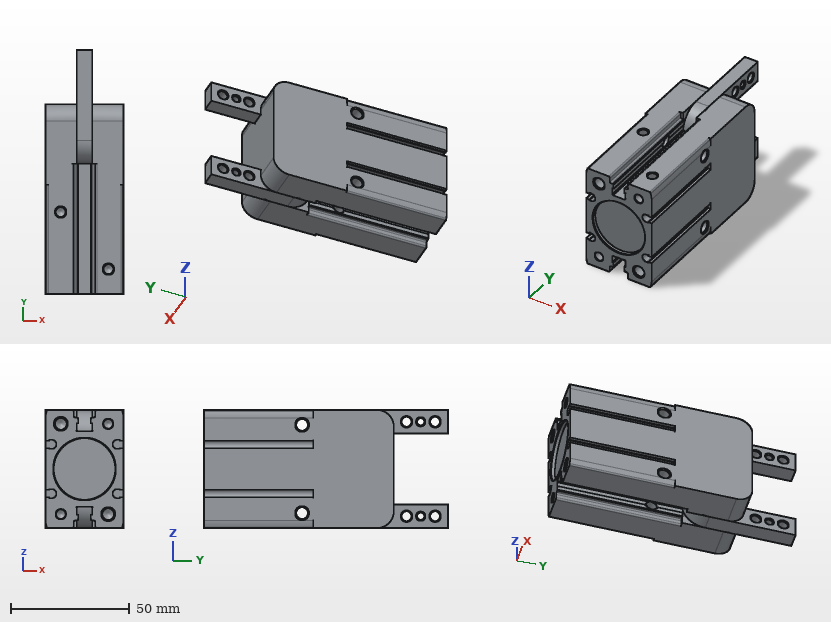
import cadquery as cq
import math

overall_length = 103.2
body_width = 33.0
body_length = 80.3
body_height = 50.0
half_width = body_width / 2
half_height = body_height / 2
body_nose_radius = 7.1

finger_width = 6.6
finger_height = 10.0
finger_end_y = 55.1
finger_length = overall_length - finger_end_y
finger_hole_setbacks = [5.5, 17.5]
finger_hole_diameter = 4.1
finger_hole_rim = 5.0
pin_hole_setback = 11.6
pin_hole_diameter = 3.0
pin_hole_rim = 4.0

mouth_half_width = 4.5
mouth_depth = 3.2
mouth_edge_round = 0.7
mouth_corner_round = 0.6
neck_half_width = 2.7
neck_end_depth = 5.7
neck_chamfer = 0.3
floor_chamfer = 0.4
slot_half_width = finger_width / 2
slot_depth = 9.1

side_run = 46.2
groove_height = 10.4
groove_opening = 3.1
groove_bore_height = 3.8
groove_lip = 1.7
groove_depth = 4.6
corner_height = 3.4
corner_inset = 0.5
corner_curve_radius = 8.3
corner_round = 0.6

recess_diameter = 26.6
recess_floor_diameter = 26.0
recess_depth = 1.9

drill_point_angle = 118.0
side_hole_y = 41.5
side_hole_z = 18.7
side_hole_diameter = 5.0
side_hole_rim = 6.0
front_hole_x = 10.0
front_hole_z = 19.1
front_hole_depth = 6.7
large_front_diameter = 5.0
large_front_rim = 6.0
small_front_diameter = 4.0
small_front_rim = 4.4
port_x = 10.1
rear_port_y = 34.7
front_port_y = 10.5
port_diameter = 4.1
port_rim = 5.0
port_depth = 6.2


def revolve_about(profile, mouth, direction):
    """Solid turned from (radius, depth) points, with depth running from mouth along direction."""
    outline = cq.Workplane("XZ").polyline(profile).close()
    turned = outline.revolve(360, (0, 0, 0), (0, 1, 0)).val()
    return turned.moved(cq.Plane(origin=mouth, normal=direction).location)


def blind_hole(mouth, direction, diameter, rim, depth):
    """Drilled hole with a 45 degree countersunk rim and a conical bottom."""
    radius = diameter / 2
    rim_radius = rim / 2
    tip_depth = depth + radius / math.tan(math.radians(drill_point_angle / 2))
    profile = [(0, 0), (rim_radius, 0), (radius, rim_radius - radius), (radius, depth), (0, tip_depth)]
    return revolve_about(profile, mouth, direction)


def cross_hole(width, y, z, diameter, rim):
    """Hole across the full width in X, with a 45 degree countersink at both ends."""
    radius = diameter / 2
    rim_radius = rim / 2
    sink = rim_radius - radius
    profile = [
        (0, 0), (rim_radius, 0), (radius, sink), (radius, width - sink), (rim_radius, width), (0, width),
    ]
    return revolve_about(profile, (-width / 2, y, z), (1, 0, 0))


def along_y(outline, length):
    """Extrude an outline drawn in X and Z from the front face toward +Y."""
    return outline.close().extrude(-length)


def finger_blank():
    """Top finger without holes: a bar whose inner end is rounded on its outer edge."""
    bottom = half_height - finger_height
    arc_centre_y = finger_end_y + finger_height
    diagonal = finger_height * math.sqrt(0.5)
    return (
        cq.Workplane("YZ", origin=(-finger_width / 2, 0, 0))
        .moveTo(finger_end_y, bottom)
        .threePointArc((arc_centre_y - diagonal, bottom + diagonal), (arc_centre_y, half_height))
        .lineTo(overall_length, half_height)
        .lineTo(overall_length, bottom)
        .close()
        .extrude(finger_width)
    )


def make_finger(turn):
    """Finger with its mounting holes, turned about the Y axis into place."""
    centre_z = half_height - finger_height / 2
    finger = finger_blank()
    for setback in finger_hole_setbacks:
        hole_y = overall_length - setback
        finger = finger.cut(cross_hole(finger_width, hole_y, centre_z, finger_hole_diameter, finger_hole_rim))
    pin_y = overall_length - pin_hole_setback
    finger = finger.cut(cross_hole(finger_width, pin_y, centre_z, pin_hole_diameter, pin_hole_rim))
    return finger.rotate((0, 0, 0), (0, 1, 0), turn)


def top_slot():
    """Stepped slot in the top face, with rounded mouth edges and rounded mouth corners."""
    bend = math.sqrt(0.5)
    edge_x = mouth_half_width + mouth_edge_round
    edge_z = half_height - mouth_edge_round
    mouth_z = half_height - mouth_depth
    corner_x = mouth_half_width - mouth_corner_round
    corner_z = mouth_z + mouth_corner_round
    neck_z = half_height - neck_end_depth
    floor_z = half_height - slot_depth
    edge_mid = (edge_x - mouth_edge_round * bend, edge_z + mouth_edge_round * bend)
    corner_mid = (corner_x + mouth_corner_round * bend, corner_z - mouth_corner_round * bend)
    half_slot = along_y(
        cq.Workplane("XZ")
        .moveTo(0, half_height)
        .lineTo(edge_x, half_height)
        .threePointArc(edge_mid, (mouth_half_width, edge_z))
        .lineTo(mouth_half_width, corner_z)
        .threePointArc(corner_mid, (corner_x, mouth_z))
        .lineTo(neck_half_width + neck_chamfer, mouth_z)
        .lineTo(neck_half_width, mouth_z - neck_chamfer)
        .lineTo(neck_half_width, neck_z)
        .lineTo(slot_half_width, neck_z)
        .lineTo(slot_half_width, floor_z + floor_chamfer)
        .lineTo(slot_half_width - floor_chamfer, floor_z)
        .lineTo(0, floor_z),
        finger_end_y,
    )
    return half_slot.union(half_slot.mirror("YZ"))


def finger_pocket():
    """Square-ended pocket for the top finger, open at the rear and top."""
    return cq.Workplane("XY").box(
        finger_width, finger_length, finger_height, centered=(True, False, False)
    ).translate((0, finger_end_y, half_height - finger_height))


def side_groove():
    """Groove in the +X side at the upper height: a narrow opening and a wider, round-ended bore."""
    round_x = half_width - groove_depth + groove_bore_height / 2
    lip_x = half_width - groove_lip
    bore_top = groove_height + groove_bore_height / 2
    bore_bottom = groove_height - groove_bore_height / 2
    opening_top = groove_height + groove_opening / 2
    opening_bottom = groove_height - groove_opening / 2
    return along_y(
        cq.Workplane("XZ")
        .moveTo(half_width, opening_top)
        .lineTo(lip_x, opening_top)
        .lineTo(lip_x, bore_top)
        .lineTo(round_x, bore_top)
        .threePointArc((half_width - groove_depth, groove_height), (round_x, bore_bottom))
        .lineTo(lip_x, bore_bottom)
        .lineTo(lip_x, opening_bottom)
        .lineTo(half_width, opening_bottom),
        side_run,
    )


def corner_relief():
    """Sliver removed from the upper +X corner: a shallow curve and a small edge round."""
    curve_end = (half_width - corner_inset, half_height - corner_round)
    edge_end = (half_width - corner_inset - corner_round, half_height)
    return along_y(
        cq.Workplane("XZ")
        .moveTo(half_width, half_height - corner_height)
        .radiusArc(curve_end, -corner_curve_radius)
        .radiusArc(edge_end, -corner_round)
        .lineTo(half_width, half_height),
        side_run,
    )


def make_body():
    """Body with its finger slots, grooves, recess and drilled holes."""
    body = (
        cq.Workplane("XY")
        .box(body_width, body_length, body_height, centered=(True, False, True))
        .edges(">Y and |X")
        .fillet(body_nose_radius)
    )

    for turn in (0, 180):
        for cutter in (top_slot(), finger_pocket()):
            body = body.cut(cutter.rotate((0, 0, 0), (0, 1, 0), turn))
    for z in (-side_hole_z, side_hole_z):
        body = body.cut(cross_hole(body_width, side_hole_y, z, side_hole_diameter, side_hole_rim))

    for cutter in (side_groove(), corner_relief()):
        right_pair = cutter.union(cutter.mirror("XY"))
        body = body.cut(right_pair).cut(right_pair.mirror("YZ"))

    recess_radius = recess_diameter / 2
    floor_radius = recess_floor_diameter / 2
    recess_profile = [
        (0, 0), (recess_radius, 0), (floor_radius, recess_radius - floor_radius),
        (floor_radius, recess_depth), (0, recess_depth),
    ]
    body = body.cut(revolve_about(recess_profile, (0, 0, 0), (0, 1, 0)))
    for side in (-1, 1):
        large_mouth = (side * front_hole_x, 0, -side * front_hole_z)
        small_mouth = (side * front_hole_x, 0, side * front_hole_z)
        for mouth, diameter, rim in (
            (large_mouth, large_front_diameter, large_front_rim),
            (small_mouth, small_front_diameter, small_front_rim),
        ):
            body = body.cut(blind_hole(mouth, (0, 1, 0), diameter, rim, front_hole_depth))

    for x, y in ((-port_x, rear_port_y), (port_x, front_port_y)):
        body = body.cut(blind_hole((x, y, half_height), (0, 0, -1), port_diameter, port_rim, port_depth))
    return body


body = make_body()
fingers = [make_finger(turn) for turn in (0, 180)]

result = cq.Compound.makeCompound([body.val(), *[finger.val() for finger in fingers]])